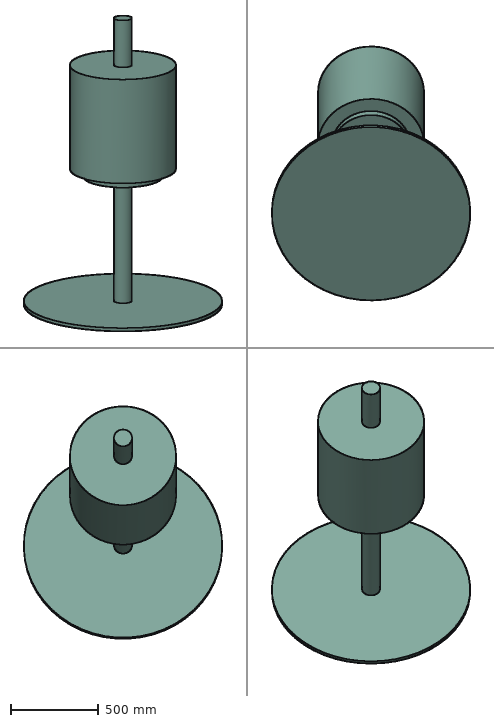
import cadquery as cq

total_height = 1710.0
base_diameter = 1140.0
base_thickness = 20.0

pole_diameter = 105.0

disc_bottom = 761.0
disc_diameter = 451.0
disc_thickness = 48.0
drum_diameter = 610.0
drum_height = 620.0


def cylinder(diameter, bottom, height):
    """Vertical cylinder centred on the Z axis."""
    return cq.Workplane("XY").workplane(offset=bottom).circle(diameter / 2).extrude(height)


base = cylinder(base_diameter, 0, base_thickness)
pole = cylinder(pole_diameter, 0, total_height)
support_disc = cylinder(disc_diameter, disc_bottom, disc_thickness)
drum = cylinder(drum_diameter, disc_bottom + disc_thickness, drum_height)

result = base.union(pole).union(support_disc).union(drum)